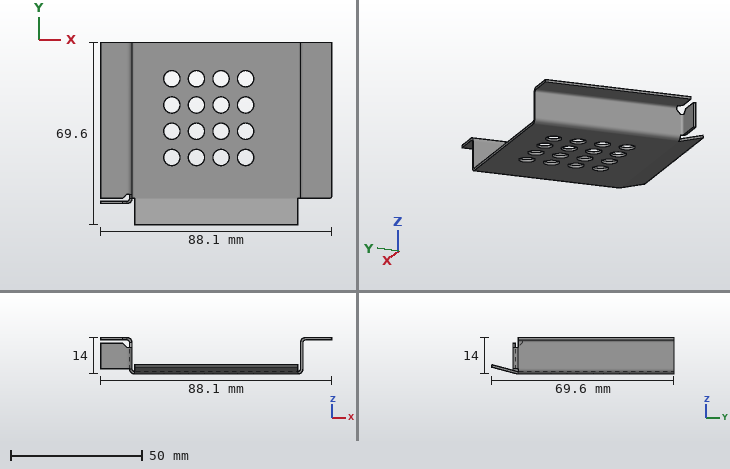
import cadquery as cq
import math

WIDTH = 88.1
OVERALL_DEPTH = 69.65
HEIGHT = 14.0
SHEET = 1.0
INNER_RADIUS = 1.0
OUTER_RADIUS = INNER_RADIUS + SHEET

WALL_OUTSIDE = 11.0
WALL_INSIDE = WALL_OUTSIDE + SHEET
FLANGE_FLAT = WALL_OUTSIDE - INNER_RADIUS
FLOOR_START = WALL_INSIDE + INNER_RADIUS
FLOOR_WIDTH = WIDTH - 2 * FLOOR_START
FLANGE_CORNER_RADIUS = 1.0

LIP_ANGLE = 15.0
LIP_LENGTH = 10.0
LIP_REACH = (
    OUTER_RADIUS * math.sin(math.radians(LIP_ANGLE))
    + LIP_LENGTH * math.cos(math.radians(LIP_ANGLE))
)
DEPTH = OVERALL_DEPTH - LIP_REACH

EAR_BOTTOM = OUTER_RADIUS
EAR_TOP = 11.8

RELIEF = 1.6

HOLE_DIAMETER = 6.13
HOLE_COUNT = 4
HOLE_PITCH_X = 9.37
HOLE_PITCH_Y = 10.0
FIRST_HOLE_X = 27.13
FIRST_HOLE_Y = 15.6


def box(x0, x1, y0, y1, z0, z1):
    """Axis-aligned block between two opposite corners."""
    return cq.Workplane("XY").box(x1 - x0, y1 - y0, z1 - z0, centered=False).translate((x0, y0, z0))


def make_bend(plane, center, start_angle, sweep, length):
    """Sheet bend: a ring sector about center, extruded along the plane normal."""
    def point(radius, angle):
        turn = math.radians(angle)
        return (center[0] + radius * math.cos(turn), center[1] + radius * math.sin(turn))

    middle = start_angle + sweep / 2
    end = start_angle + sweep
    return (
        cq.Workplane(plane)
        .moveTo(*point(INNER_RADIUS, start_angle))
        .lineTo(*point(OUTER_RADIUS, start_angle))
        .threePointArc(point(OUTER_RADIUS, middle), point(OUTER_RADIUS, end))
        .lineTo(*point(INNER_RADIUS, end))
        .threePointArc(point(INNER_RADIUS, middle), point(INNER_RADIUS, start_angle))
        .close()
        .extrude(length)
    )


def make_side():
    """Left flange, wall and their two bends."""
    flange = box(0, FLANGE_FLAT, 0, DEPTH, HEIGHT - SHEET, HEIGHT)
    wall = box(WALL_OUTSIDE, WALL_INSIDE, 0, DEPTH, OUTER_RADIUS, HEIGHT - OUTER_RADIUS)
    upper_bend = make_bend("XZ", (FLANGE_FLAT, HEIGHT - OUTER_RADIUS), 0, 90, -DEPTH)
    lower_bend = make_bend("XZ", (FLOOR_START, OUTER_RADIUS), 180, 90, -DEPTH)
    return flange.union(wall).union(upper_bend).union(lower_bend)


def make_right_side():
    """Mirror of the left side, with its front flange corner rounded."""
    side = make_side().mirror("YZ").translate((WIDTH, 0, 0))
    return side.edges("|Z").edges(">X").edges("<Y").fillet(FLANGE_CORNER_RADIUS)


def cut_relief(side):
    """Clear the front corner of the left flange, its bend and the wall below."""
    bend_bottom = HEIGHT - OUTER_RADIUS
    flange_notch = (
        cq.Workplane("XY", origin=(0, 0, bend_bottom))
        .polyline([
            (FLANGE_FLAT - RELIEF, 0),
            (WALL_INSIDE, 0),
            (WALL_INSIDE, RELIEF),
            (FLANGE_FLAT, RELIEF),
        ])
        .close()
        .extrude(OUTER_RADIUS)
    )
    wall_notch = (
        cq.Workplane("YZ", origin=(WALL_OUTSIDE, 0, 0))
        .polyline([(0, bend_bottom), (RELIEF, bend_bottom), (0, EAR_TOP - RELIEF)])
        .close()
        .extrude(SHEET)
    )
    return side.cut(flange_notch).cut(wall_notch)


def make_ear():
    """Bend from the left wall and the plate that runs outward, its inner top corner cut off."""
    bend_top = EAR_TOP - RELIEF
    bend = (
        make_bend("XY", (FLANGE_FLAT, 0), 270, 90, bend_top - EAR_BOTTOM)
        .translate((0, 0, EAR_BOTTOM))
    )
    plate = (
        cq.Workplane("XZ", origin=(0, -INNER_RADIUS, 0))
        .polyline([
            (0, EAR_BOTTOM),
            (FLANGE_FLAT, EAR_BOTTOM),
            (FLANGE_FLAT, bend_top),
            (FLANGE_FLAT - RELIEF, EAR_TOP),
            (0, EAR_TOP),
        ])
        .close()
        .extrude(SHEET)
    )
    return bend.union(plate)


def make_lip():
    """Front lip, bent upward from the floor."""
    bend = (
        make_bend("YZ", (0, OUTER_RADIUS), 270 - LIP_ANGLE, LIP_ANGLE, FLOOR_WIDTH)
        .translate((FLOOR_START, 0, 0))
    )
    plate = (
        box(FLOOR_START, FLOOR_START + FLOOR_WIDTH, -LIP_LENGTH, 0, 0, SHEET)
        .rotate((0, 0, OUTER_RADIUS), (1, 0, OUTER_RADIUS), -LIP_ANGLE)
    )
    return bend.union(plate)


def make_floor():
    """Flat floor with its grid of through holes."""
    floor = box(FLOOR_START, FLOOR_START + FLOOR_WIDTH, 0, DEPTH, 0, SHEET)
    centers = [
        (FIRST_HOLE_X + column * HOLE_PITCH_X, FIRST_HOLE_Y + row * HOLE_PITCH_Y)
        for column in range(HOLE_COUNT)
        for row in range(HOLE_COUNT)
    ]
    holes = cq.Workplane("XY").pushPoints(centers).circle(HOLE_DIAMETER / 2).extrude(SHEET)
    return floor.cut(holes)


result = (
    make_floor()
    .union(cut_relief(make_side()))
    .union(make_right_side())
    .union(make_ear())
    .union(make_lip())
)